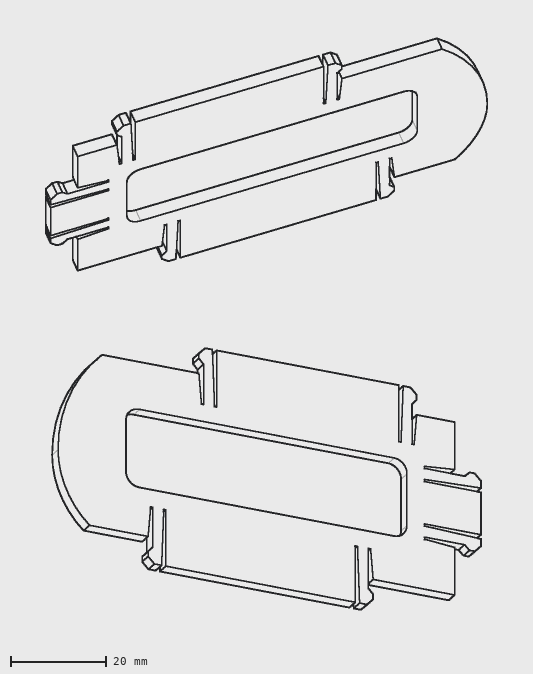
import cadquery as cq

thickness = 3.0
length = 97.8
height = 52.0

tab_projection = 6.1
nose_y = length / 2
end_tab_z = 4.9
end_tip_y = -length / 2
edge_tip_z = height / 2
body_end_y = end_tip_y + tab_projection
body_half_height = edge_tip_z - tab_projection

top_tab_y = (-29.9, 12.2)
bottom_tab_y = (-19.85, 24.0)

nose_z = -3.8
upper_nose_radius = 32.9
lower_nose_radius = 21.5

window_y = (-31.8, 33.1)
window_half_height = 9.0
window_corner_radius = 3.0

gap_at_root = 0.5
gap_at_tip = 1.0
clip_outer = 3.0
hook_reach = 4.1
relief_at_root = 3.5
relief_at_edge = 4.1

slot_depth = 13.0
hook_chamfer = 1.5
hook_flat_end = 2.6
hook_end = 3.8


def nose_point(radius, z):
    """Point at height z on a nose arc of the given radius."""
    drop = radius - (radius**2 - (z - nose_z) ** 2) ** 0.5
    return nose_y - drop, z


def extrude_closed(sketch):
    """Plate of full thickness from an outline on the YZ plane."""
    return sketch.close().extrude(thickness / 2, both=True)


def block(y_range, z_range):
    """Rectangular plate spanning the two ranges."""
    return (
        cq.Workplane("YZ")
        .center(sum(y_range) / 2, sum(z_range) / 2)
        .rect(y_range[1] - y_range[0], z_range[1] - z_range[0])
        .extrude(thickness / 2, both=True)
    )


def make_body():
    """Plate with a square end and a rounded nose."""
    upper_mid_z = (body_half_height + nose_z) / 2
    lower_mid_z = (nose_z - body_half_height) / 2
    outline = (
        cq.Workplane("YZ")
        .moveTo(body_end_y, -body_half_height)
        .lineTo(body_end_y, body_half_height)
        .lineTo(*nose_point(upper_nose_radius, body_half_height))
        .threePointArc(nose_point(upper_nose_radius, upper_mid_z), (nose_y, nose_z))
        .threePointArc(
            nose_point(lower_nose_radius, lower_mid_z),
            nose_point(lower_nose_radius, -body_half_height),
        )
    )
    return extrude_closed(outline)


def make_window():
    """Opening with rounded corners."""
    opening = block(window_y, (-window_half_height, window_half_height))
    return opening.edges("|X").fillet(window_corner_radius)


def local_plate(points, corner, sideways, inward):
    """Plate from (across, along) points measured from a tab corner."""
    placed = [
        (
            corner[0] + across * sideways[0] + along * inward[0],
            corner[1] + across * sideways[1] + along * inward[1],
        )
        for across, along in points
    ]
    return extrude_closed(cq.Workplane("YZ").polyline(placed))


def add_clip(plate, corner, sideways, inward):
    """Cut the relief beside a tab and put a hooked spring arm in it."""
    relief = [
        (0, 0),
        (relief_at_edge, 0),
        (relief_at_edge, tab_projection),
        (relief_at_root, slot_depth),
        (0, slot_depth),
    ]
    arm = [
        (gap_at_tip, 0),
        (hook_reach - hook_chamfer, 0),
        (hook_reach, hook_chamfer),
        (hook_reach, hook_flat_end),
        (clip_outer, hook_end),
        (clip_outer, slot_depth),
        (gap_at_root, slot_depth),
    ]
    plate = plate.cut(local_plate(relief, corner, sideways, inward))
    return plate.union(local_plate(arm, corner, sideways, inward))


plate = make_body()

root_z = edge_tip_z - slot_depth
plate = plate.union(block(top_tab_y, (root_z, edge_tip_z)))
plate = plate.union(block(bottom_tab_y, (-edge_tip_z, -root_z)))
plate = plate.union(block((end_tip_y, end_tip_y + slot_depth), (-end_tab_z, end_tab_z)))
plate = plate.cut(make_window())

for end, direction in ((0, -1), (1, 1)):
    plate = add_clip(plate, (top_tab_y[end], edge_tip_z), (direction, 0), (0, -1))
    plate = add_clip(plate, (bottom_tab_y[end], -edge_tip_z), (direction, 0), (0, 1))
    plate = add_clip(plate, (end_tip_y, direction * end_tab_z), (0, direction), (1, 0))

result = plate